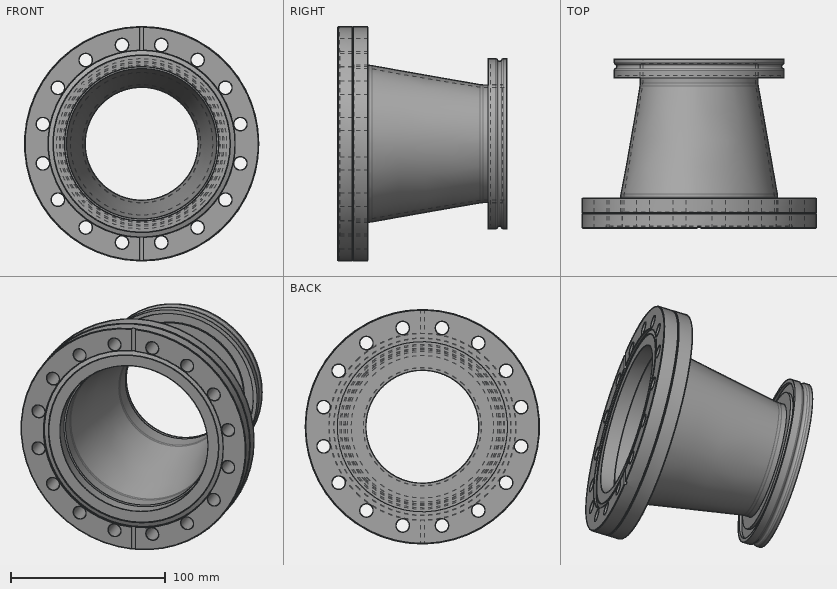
import cadquery as cq
import math

overall_length = 109.5

bolt_flange_diameter = 151.6
bolt_flange_thickness = 19.7
bolt_flange_bore = 99.6
rim_chamfer = 0.5
rim_groove_y = bolt_flange_thickness / 2
rim_groove_half_width = 0.53
rim_groove_depth = 0.5

recess_diameter = 120.7
knife_tip_diameter = 114.3
knife_tip_width = 0.3
knife_tip_depth = 0.6
knife_slope_angle = 20.0
seal_floor_depth = 1.2
recess_chamfer = 0.3
edge_break = 0.2

bolt_hole_count = 16
bolt_hole_diameter = 8.5
bolt_circle_diameter = 130.2
leak_groove_diameter = 2.6
leak_groove_overrun = 0.8

large_outer_diameter = 101.5
large_inner_diameter = 97.3
small_outer_diameter = 76.3
small_inner_diameter = 72.9
socket_clearance = 0.3
socket_depth = 9.2
taper_start_y = 21.2
taper_end_y = 93.1
bend_radius = 11.2

clamp_flange_diameter = 110.0
clamp_flange_thickness = 12.1
clamp_groove_y = 104.8
clamp_groove_half_width = 2.6
clamp_groove_depth = 1.7
face_groove_outer_diameter = 104.9
face_groove_inner_diameter = 92.2
face_groove_depth = 1.7

clamp_face_y = overall_length - clamp_flange_thickness
large_seat_y = bolt_flange_thickness - socket_depth
small_seat_y = clamp_face_y + socket_depth


def revolve_about_y(profile):
    """Turn a closed (radius, y) profile into a solid of revolution about the Y axis."""
    return profile.revolve(360, (0, 0, 0), (0, 1, 0))


def make_bolt_flange_blank():
    rim = bolt_flange_diameter / 2
    recess = recess_diameter / 2
    tip = knife_tip_diameter / 2
    bore = bolt_flange_bore / 2
    socket = (large_outer_diameter + socket_clearance) / 2
    slope_drop = (recess - tip - knife_tip_width) * math.tan(math.radians(knife_slope_angle))
    profile = (
        cq.Workplane("XY")
        .moveTo(recess + recess_chamfer, 0)
        .lineTo(rim - rim_chamfer, 0)
        .lineTo(rim, rim_chamfer)
        .lineTo(rim, rim_groove_y - rim_groove_half_width)
        .lineTo(rim - rim_groove_depth, rim_groove_y)
        .lineTo(rim, rim_groove_y + rim_groove_half_width)
        .lineTo(rim, bolt_flange_thickness - rim_chamfer)
        .lineTo(rim - rim_chamfer, bolt_flange_thickness)
        .lineTo(socket, bolt_flange_thickness)
        .lineTo(socket, large_seat_y)
        .lineTo(bore, large_seat_y)
        .lineTo(bore, seal_floor_depth + edge_break)
        .lineTo(bore + edge_break, seal_floor_depth)
        .lineTo(tip, seal_floor_depth)
        .lineTo(tip, knife_tip_depth)
        .lineTo(tip + knife_tip_width, knife_tip_depth)
        .lineTo(recess, knife_tip_depth + slope_drop)
        .lineTo(recess, recess_chamfer)
        .close()
    )
    return revolve_about_y(profile)


def make_bolt_hole_cutters():
    """Cutters for the ring of bolt holes, widened by the edge break at both faces."""
    radius = bolt_hole_diameter / 2
    cutter = revolve_about_y(
        cq.Workplane("XY")
        .lineTo(radius + edge_break, 0)
        .lineTo(radius, edge_break)
        .lineTo(radius, bolt_flange_thickness - edge_break)
        .lineTo(radius + edge_break, bolt_flange_thickness)
        .lineTo(0, bolt_flange_thickness)
        .close()
    ).translate((bolt_circle_diameter / 2, 0, 0))
    hole_spacing = 360 / bolt_hole_count
    return [
        cutter.rotate((0, 0, 0), (0, 1, 0), (index + 0.5) * hole_spacing)
        for index in range(bolt_hole_count)
    ]


def make_leak_groove(side):
    """Half-round groove in the front face, from the recess to the rim; side is +1 (up) or -1 (down)."""
    groove_start = recess_diameter / 2 - leak_groove_overrun
    groove_end = bolt_flange_diameter / 2 + leak_groove_overrun
    return (
        cq.Workplane("XY")
        .workplane(offset=side * groove_start)
        .transformed(rotate=(0, 0, 90))
        .circle(leak_groove_diameter / 2)
        .extrude(side * (groove_end - groove_start))
    )


def make_bolt_flange():
    flange = make_bolt_flange_blank()
    for cutter in make_bolt_hole_cutters():
        flange = flange.cut(cutter)
    for side in (1, -1):
        flange = flange.cut(make_leak_groove(side))
    return flange.solids()


def make_tube():
    profile = (
        cq.Workplane("XY")
        .moveTo(large_inner_diameter / 2, large_seat_y)
        .lineTo(large_outer_diameter / 2, large_seat_y)
        .lineTo(large_outer_diameter / 2, taper_start_y)
        .lineTo(small_outer_diameter / 2, taper_end_y)
        .lineTo(small_outer_diameter / 2, small_seat_y)
        .lineTo(small_inner_diameter / 2, small_seat_y)
        .lineTo(small_inner_diameter / 2, taper_end_y)
        .lineTo(large_inner_diameter / 2, taper_start_y)
        .close()
    )
    between_ends = cq.selectors.BoxSelector(
        (-large_outer_diameter, bolt_flange_thickness, -large_outer_diameter),
        (large_outer_diameter, clamp_face_y, large_outer_diameter),
    )
    return revolve_about_y(profile).edges("%CIRCLE").edges(between_ends).fillet(bend_radius).solids()


def make_clamp_flange():
    rim = clamp_flange_diameter / 2
    bore = small_inner_diameter / 2
    socket = (small_outer_diameter + socket_clearance) / 2
    face_groove_outer = face_groove_outer_diameter / 2
    face_groove_inner = face_groove_inner_diameter / 2
    face_groove_y = clamp_face_y + face_groove_depth
    flow_radius = rim - clamp_groove_depth / 2
    flow_offset = clamp_groove_half_width / 2
    profile = (
        cq.Workplane("XY")
        .moveTo(face_groove_outer, clamp_face_y)
        .lineTo(rim, clamp_face_y)
        .lineTo(rim, clamp_groove_y - clamp_groove_half_width)
        .tangentArcPoint((flow_radius, clamp_groove_y - flow_offset), relative=False)
        .threePointArc((rim - clamp_groove_depth, clamp_groove_y), (flow_radius, clamp_groove_y + flow_offset))
        .tangentArcPoint((rim, clamp_groove_y + clamp_groove_half_width), relative=False)
        .lineTo(rim, overall_length)
        .lineTo(bore, overall_length)
        .lineTo(bore, small_seat_y)
        .lineTo(socket, small_seat_y)
        .lineTo(socket, clamp_face_y)
        .lineTo(face_groove_inner, clamp_face_y)
        .lineTo(face_groove_inner, face_groove_y)
        .lineTo(face_groove_outer, face_groove_y)
        .close()
    )
    return revolve_about_y(profile)


bolt_flange = make_bolt_flange()
tube = make_tube()
clamp_flange = make_clamp_flange()

result = cq.Compound.makeCompound([bolt_flange.val(), tube.val(), clamp_flange.val()])